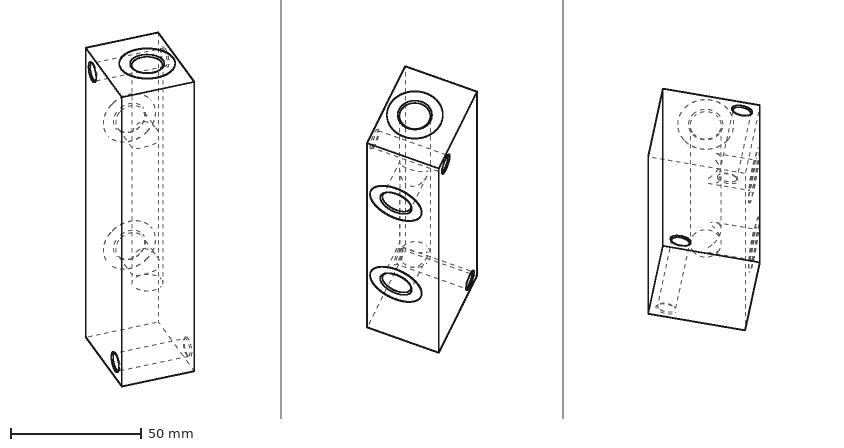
import cadquery as cq
import math

WIDTH = 38.0
DEPTH = 30.0
HEIGHT = 132

BORE_DIAMETER = 11.9
BORE_RADIUS = BORE_DIAMETER / 2
PORT_MOUTH_DIAMETER = 13.2
SPOT_FACE_DIAMETER = 21.5
SPOT_FACE_DEPTH = 0.2
BORE_FROM_BACK = 12.0
UPPER_PORT_FROM_TOP = 36.0
PORT_SPACING = 58.0
DRILL_POINT_ANGLE = 118

BOLT_HOLE_DIAMETER = 7.0
BOLT_MOUTH_DIAMETER = 8.0
BOLT_HOLE_INSET = 7.0

bore_y = DEPTH / 2 - BORE_FROM_BACK
upper_port_z = HEIGHT / 2 - UPPER_PORT_FROM_TOP
lower_port_z = upper_port_z - PORT_SPACING
bolt_x = WIDTH / 2 - BOLT_HOLE_INSET
bolt_z = HEIGHT / 2 - BOLT_HOLE_INSET


def countersink(center, inward, mouth_diameter, hole_diameter):
    """45 degree cone from the mouth down to the hole diameter."""
    depth = (mouth_diameter - hole_diameter) / 2
    return cq.Solid.makeCone(mouth_diameter / 2, hole_diameter / 2, depth, center, inward)


def port(center, inward, length):
    """Cutter for a spot-faced, countersunk port drilled inward from a face."""
    spot_face = cq.Solid.makeCylinder(SPOT_FACE_DIAMETER / 2, SPOT_FACE_DEPTH, center, inward)
    seat = center + inward * SPOT_FACE_DEPTH
    mouth = countersink(seat, inward, PORT_MOUTH_DIAMETER, BORE_DIAMETER)
    bore = cq.Solid.makeCylinder(BORE_RADIUS, length, center, inward)
    return cq.Workplane(obj=bore).union(cq.Workplane(obj=mouth)).union(cq.Workplane(obj=spot_face))


def main_bore():
    """Vertical bore that clears the lower side port and ends in a drill point."""
    down = cq.Vector(0, 0, -1)
    top = cq.Vector(0, bore_y, HEIGHT / 2)
    length = top.z - lower_port_z + BORE_RADIUS
    point_depth = BORE_RADIUS / math.tan(math.radians(DRILL_POINT_ANGLE / 2))
    drill_point = cq.Solid.makeCone(BORE_RADIUS, 0, point_depth, top + down * length, down)
    return port(top, down, length).union(cq.Workplane(obj=drill_point))


def side_port(z):
    """Horizontal port from the -X face to the axis of the main bore."""
    return port(cq.Vector(-WIDTH / 2, bore_y, z), cq.Vector(1, 0, 0), WIDTH / 2)


def bolt_hole(x, z):
    """Through hole along Y, countersunk at both ends."""
    back = cq.Vector(0, 1, 0)
    front_center = cq.Vector(x, -DEPTH / 2, z)
    back_center = cq.Vector(x, DEPTH / 2, z)
    cutter = cq.Workplane(obj=cq.Solid.makeCylinder(BOLT_HOLE_DIAMETER / 2, DEPTH, front_center, back))
    for center, inward in ((front_center, back), (back_center, back * -1)):
        mouth = countersink(center, inward, BOLT_MOUTH_DIAMETER, BOLT_HOLE_DIAMETER)
        cutter = cutter.union(cq.Workplane(obj=mouth))
    return cutter


result = cq.Workplane().box(WIDTH, DEPTH, HEIGHT)
result = result.cut(main_bore())
for port_z in (upper_port_z, lower_port_z):
    result = result.cut(side_port(port_z))
for side in (-1, 1):
    result = result.cut(bolt_hole(side * bolt_x, -side * bolt_z))